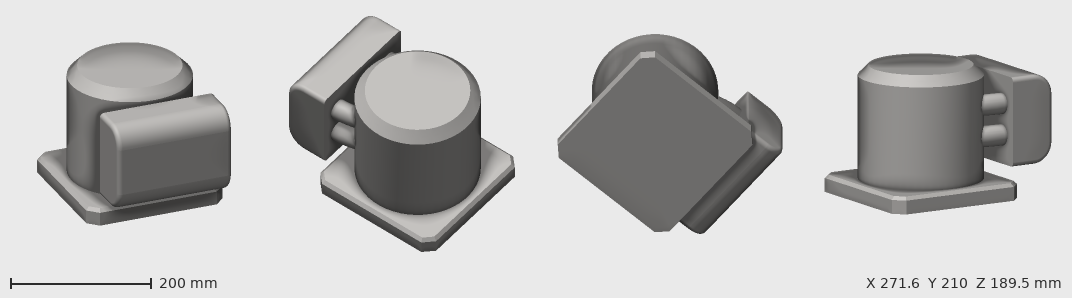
import cadquery as cq

base_side = 210.0
base_height = 25.0
base_corner_chamfer = 15.0
base_top_chamfer = 5.0

total_height = 189.5
body_diameter = 179.8
body_chamfer = 15.0

total_length = 271.6
box_depth = 67.0
box_width = 176.0
box_height = 129.5
box_corner_radius = 30.0
box_edge_radius = 6.8
box_bottom = 44.5
box_right = total_length - base_side / 2
box_left = box_right - box_depth

pipe_diameter = 30.5
pipe_bend_radius = 114.0
pipe_bend_angle = 40.0
pipe_offset = 57.5
pipe_spacing = 45.6
pipe_mid_height = box_bottom + box_height / 2


def make_base():
    plate = cq.Workplane("XY").box(base_side, base_side, base_height, centered=(True, True, False))
    plate = plate.edges("|Z").chamfer(base_corner_chamfer)
    return plate.faces(">Z").edges().chamfer(base_top_chamfer)


def make_body():
    body = cq.Workplane("XY").circle(body_diameter / 2).extrude(total_height)
    return body.faces(">Z").edges().chamfer(body_chamfer)


def make_box():
    box = (
        cq.Workplane("XY")
        .box(box_depth, box_width, box_height, centered=(False, True, False))
        .translate((box_left, 0, box_bottom))
    )
    box = box.edges("|Y and >X").fillet(box_corner_radius)
    return box.faces("<Y or >Y").edges("not <X").fillet(box_edge_radius)


def make_pipe(side, height):
    """Pipe leaving the box square to its back and bending towards the body's axis."""
    centre_y = side * pipe_offset
    return (
        cq.Workplane("YZ", origin=(box_left, centre_y, height))
        .circle(pipe_diameter / 2)
        .revolve(
            pipe_bend_angle,
            (-side * pipe_bend_radius, 0),
            (-side * pipe_bend_radius, side),
        )
    )


result = make_base().union(make_body()).union(make_box())
for side in (-1, 1):
    for level in (-0.5, 0.5):
        result = result.union(make_pipe(side, pipe_mid_height + level * pipe_spacing))